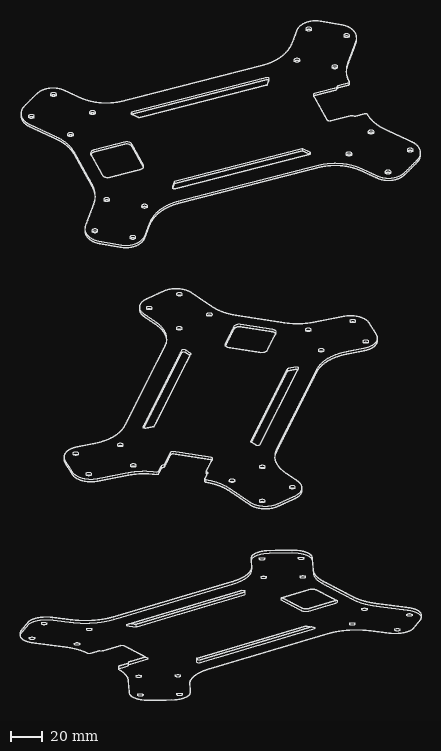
import cadquery as cq
import math

thickness = 2.0
overall_width = 155.5
overall_length = 225.5
body_width = 99.9
body_length = 186.2

arm_tilt = 35.0
arm_width = 38.8
arm_length = 67.6
arm_corner_radius = 12.5
junction_radius = 30.0

hole_diameter = 3.5
hole_pitch_along = 30.0
hole_pitch_across = 24.8
tip_margin = 9.0

tilt = math.radians(arm_tilt)
arm_tip = hole_pitch_along / 2 + tip_margin
corner_along = arm_tip - arm_corner_radius
corner_across = arm_width / 2 - arm_corner_radius
reach_x = corner_along * math.cos(tilt) + corner_across * math.sin(tilt) + arm_corner_radius
reach_y = corner_along * math.sin(tilt) + corner_across * math.cos(tilt) + arm_corner_radius
hole_centre_x = overall_width / 2 - reach_x
hole_centre_y = overall_length / 2 - reach_y

window_size = 27.5
window_centre_y = -70.1
window_corner_radius = 3.4

notch_width = window_size
notch_floor_y = 67.5
notch_corner_radius = 1.5
notch_mouth_width = 30.5
notch_step_y = 83.5
notch_step_height = 1.5
mouth_corner_radius = 1.1

slot_outer_x = 38.3
slot_inner_x = 31.8
slot_inner_half_length = 43.3
slot_corner_radius = 1.4

end_y = body_length / 2


def arm_frame(side_x, side_y):
    """Plane at the middle of an arm's hole pattern, local X pointing at the arm's tip."""
    return cq.Plane(
        origin=(side_x * hole_centre_x, side_y * hole_centre_y, 0),
        xDir=(side_x * math.cos(tilt), side_y * math.sin(tilt), 0),
        normal=(0, 0, 1),
    )


def arm(frame):
    """Arm blank with a rounded tip; its inner end lies inside the body."""
    blank = cq.Workplane("XY").box(arm_length, arm_width, thickness, centered=(True, True, False))
    rounded = blank.edges("|Z and >X").fillet(arm_corner_radius)
    solid = rounded.translate((arm_tip - arm_length / 2, 0, 0)).val()
    return cq.Workplane(obj=solid.moved(cq.Location(frame)))


def arm_holes(frame):
    return (
        cq.Workplane(frame)
        .rect(hole_pitch_along, hole_pitch_across, forConstruction=True)
        .vertices()
        .circle(hole_diameter / 2)
        .extrude(thickness)
    )


def window():
    square = cq.Workplane("XY").center(0, window_centre_y).rect(window_size, window_size).extrude(thickness)
    return square.edges("|Z").fillet(window_corner_radius)


def notch():
    """Notch with sloped steps that widen it towards the mouth."""
    half = notch_width / 2
    mouth_half = notch_mouth_width / 2
    shoulder_y = notch_step_y + notch_step_height
    outline = [
        (-half, notch_floor_y),
        (half, notch_floor_y),
        (half, notch_step_y),
        (mouth_half, shoulder_y),
        (mouth_half, end_y),
        (-mouth_half, end_y),
        (-mouth_half, shoulder_y),
        (-half, notch_step_y),
    ]
    cutter = cq.Workplane("XY").polyline(outline).close().extrude(thickness)
    return cutter.edges("|Z and <Y").fillet(notch_corner_radius)


def slot(side_x):
    """Side slot whose ends slant parallel to the arms."""
    rise = (slot_outer_x - slot_inner_x) * math.tan(tilt)
    outer_half_length = slot_inner_half_length + rise
    outline = [
        (side_x * slot_inner_x, -slot_inner_half_length),
        (side_x * slot_outer_x, -outer_half_length),
        (side_x * slot_outer_x, outer_half_length),
        (side_x * slot_inner_x, slot_inner_half_length),
    ]
    cutter = cq.Workplane("XY").polyline(outline).close().extrude(thickness)
    outer_wall = ">X" if side_x > 0 else "<X"
    return cutter.edges("|Z").edges(outer_wall).fillet(slot_corner_radius)


frames = [arm_frame(side_x, side_y) for side_x in (-1, 1) for side_y in (-1, 1)]

plate = cq.Workplane("XY").box(body_width, body_length, thickness, centered=(True, True, False))
for frame in frames:
    plate = plate.union(arm(frame))
margin = 0.2
body_region = cq.selectors.BoxSelector(
    (-body_width / 2 - margin, -end_y - margin, -margin),
    (body_width / 2 + margin, end_y + margin, thickness + margin),
)
plate = plate.edges("|Z").edges(body_region).fillet(junction_radius)

for frame in frames:
    plate = plate.cut(arm_holes(frame))
plate = plate.cut(window()).cut(notch())
for side_x in (-1, 1):
    plate = plate.cut(slot(side_x))

mouth_region = cq.selectors.BoxSelector(
    (-notch_mouth_width / 2 - margin, end_y - 2 * margin, -margin),
    (notch_mouth_width / 2 + margin, end_y + margin, thickness + margin),
)
result = plate.edges("|Z").edges(mouth_region).fillet(mouth_corner_radius)